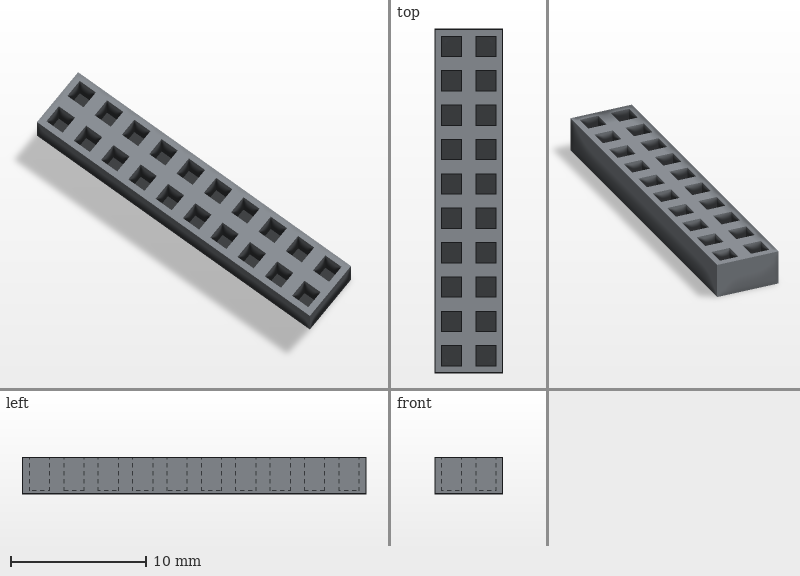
import cadquery as cq

width = 5.0
length = 25.4
height = 2.7

rows = 10
columns = 2
pitch = length / rows
socket_side = 1.5
floor_thickness = 0.25
socket_depth = height - floor_thickness

block = cq.Workplane("XY").box(width, length, height)

result = (
    block.faces(">Z")
    .workplane()
    .rarray(pitch, pitch, columns, rows)
    .rect(socket_side, socket_side)
    .cutBlind(-socket_depth)
)